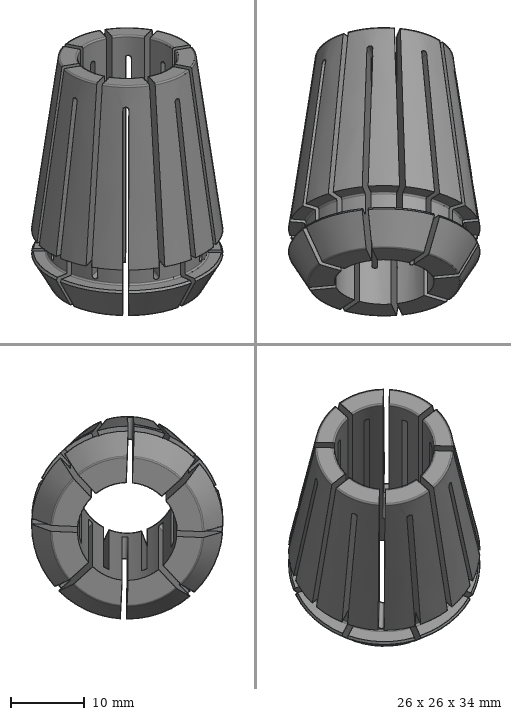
import cadquery as cq
import math

LENGTH = 34.0
NOSE_RIM_Z = 4.6
NOSE_TOP_Z = 4.93
BODY_BOTTOM_Z = 8.13

MAX_RADIUS = 13.0
GROOVE_RADIUS = 10.9
BORE_RADIUS = 13.5 / 2
NOSE_ANGLE = 30.0
BODY_ANGLE = 8.0

EDGE_RADIUS = 0.25
RIM_BEVEL_SETBACK = 0.25

SLOT_WIDTH = 0.8
NOSE_SLOT_END_Z = 31.0
TOP_SLOT_END_Z = 5.4
SLOTS_PER_END = 8
SLOT_PITCH = 360.0 / SLOTS_PER_END

MATCH_TOLERANCE = 0.0005


def turned_body():
    """Tapered body, extraction groove and nose cone, with the bore through them."""
    nose_radius = MAX_RADIUS - NOSE_RIM_Z * math.tan(math.radians(NOSE_ANGLE))
    body_height = LENGTH - BODY_BOTTOM_Z
    top_radius = MAX_RADIUS - body_height * math.tan(math.radians(BODY_ANGLE))

    body = (
        cq.Workplane("XZ")
        .moveTo(BORE_RADIUS, 0)
        .lineTo(nose_radius, 0)
        .lineTo(MAX_RADIUS, NOSE_RIM_Z)
        .lineTo(MAX_RADIUS - RIM_BEVEL_SETBACK, NOSE_TOP_Z)
        .lineTo(GROOVE_RADIUS, NOSE_TOP_Z)
        .lineTo(GROOVE_RADIUS, BODY_BOTTOM_Z)
        .lineTo(MAX_RADIUS, BODY_BOTTOM_Z)
        .lineTo(top_radius, LENGTH)
        .lineTo(BORE_RADIUS, LENGTH)
        .close()
        .revolve(360, (0, 0, 0), (0, 1, 0))
    )

    rounded_circles = [
        (nose_radius, 0),
        (GROOVE_RADIUS, NOSE_TOP_Z),
        (GROOVE_RADIUS, BODY_BOTTOM_Z),
        (top_radius, LENGTH),
        (BORE_RADIUS, LENGTH),
    ]

    def is_rounded(edge):
        return any(
            math.isclose(edge.radius(), radius, abs_tol=MATCH_TOLERANCE)
            and math.isclose(edge.Center().z, height, abs_tol=MATCH_TOLERANCE)
            for radius, height in rounded_circles
        )

    return body.edges("%CIRCLE").filter(is_rounded).fillet(EDGE_RADIUS)


def slot_cutter(open_z, end_z, angle):
    """Blade across the full diameter, open at one end face and round at end_z."""
    half_width = SLOT_WIDTH / 2
    toward_end = math.copysign(1, end_z - open_z)
    arc_z = end_z - toward_end * half_width
    return (
        cq.Workplane("XZ")
        .moveTo(-half_width, open_z)
        .lineTo(-half_width, arc_z)
        .threePointArc((0, end_z), (half_width, arc_z))
        .lineTo(half_width, open_z)
        .close()
        .extrude(2 * MAX_RADIUS, both=True)
        .rotate((0, 0, 0), (0, 0, 1), angle)
    )


result = turned_body()

for index in range(SLOTS_PER_END // 2):
    nose_slot_angle = index * SLOT_PITCH
    top_slot_angle = nose_slot_angle + SLOT_PITCH / 2
    result = result.cut(slot_cutter(0, NOSE_SLOT_END_Z, nose_slot_angle))
    result = result.cut(slot_cutter(LENGTH, TOP_SLOT_END_Z, top_slot_angle))